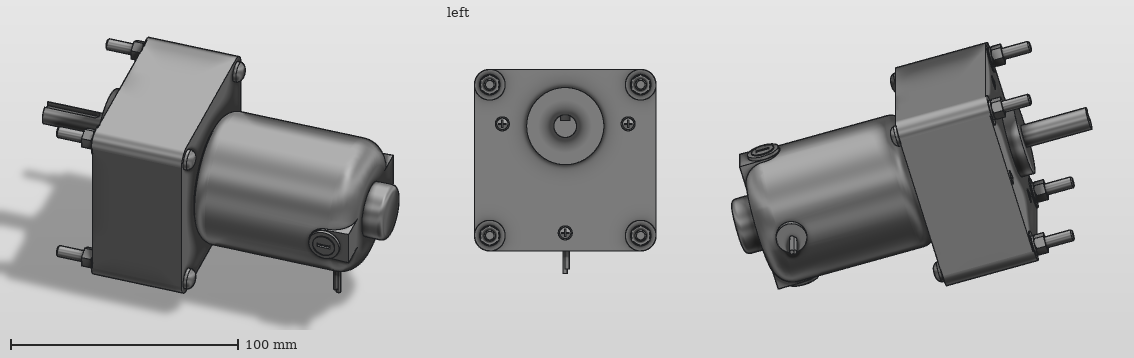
import cadquery as cq
import math


BOX_SIDE = 80.0
BOX_BACK_X = 42.0
PAD_HEIGHT = 0.5
FACE_X = PAD_HEIGHT
BOLT_CIRCLE_DIAMETER = 94.0
CORNER_OFFSET = BOLT_CIRCLE_DIAMETER / 2 / math.sqrt(2)
BOX_CORNER_RADIUS = BOX_SIDE / 2 - CORNER_OFFSET
CORNERS = [(y, z) for y in (-CORNER_OFFSET, CORNER_OFFSET) for z in (-CORNER_OFFSET, CORNER_OFFSET)]

SHAFT_Z = 15.0
SHAFT_DIAMETER = 10.0
SHAFT_TIP_X = -35.0
FLANGE_DIAMETER = 34.0
FLANGE_FRONT_X = -5.3
KEYWAY_WIDTH = 4.0
KEYWAY_DEPTH = 2.5
KEYWAY_LENGTH = 25.0

BOLT_DIAMETER = 5.0
BOLT_TIP_X = -18.0
BOLT_TIP_CHAMFER = 0.6
WASHER_DIAMETER = 9.0
WASHER_THICKNESS = 0.8
NUT_WIDTH = 8.0
NUT_THICKNESS = 4.7
NUT_CORNER_DIAMETER = NUT_WIDTH / math.cos(math.pi / 6)
NUT_CHAMFER = 0.6
HEAD_DIAMETER = 9.2
HEAD_RIM_HEIGHT = 1.5
HEAD_HEIGHT = 3.7
HEAD_TOP_RADIUS = 1.8
HEAD_DOME_MID = (2.8, 3.7)

COVER_SCREW_CIRCLE_RADIUS = 32.0
COVER_SCREW_ANGLES = (30, 150, 270)
COVER_SCREW_POCKET_DIAMETER = 6.2
COVER_SCREW_POCKET_DEPTH = 1.0
COVER_SCREW_HEAD_DIAMETER = 5.0
COVER_SCREW_RISE = 0.5
CROSS_LENGTH = 3.4
CROSS_WIDTH = 0.5
CROSS_DEPTH = 1.0

MOTOR_DIAMETER = 60.0
MOTOR_FRONT_X = 42.5
MOTOR_REAR_X = 116.5
MOTOR_FRONT_FILLET = 7.0
MOTOR_REAR_FILLET = 10.0
SPIGOT_DIAMETER = 47.0
REAR_BOSS_DIAMETER = 25.0
REAR_BOSS_END_X = 126.0
REAR_BOSS_FILLET = 2.5

BRUSH_X = 105.4
BRUSH_BLOCK_RADIUS = 7.5
BRUSH_BLOCK_REAR_HALF_HEIGHT = 7.9
BRUSH_RIM_DIAMETER = 14.2
BRUSH_RIM_HEIGHT = 1.5
BRUSH_CAP_DIAMETER = 10.2
BRUSH_CAP_HEIGHT = 2.0
BRUSH_SLOT_LENGTH = 6.0
BRUSH_SLOT_WIDTH = 1.5
BRUSH_SLOT_DEPTH = 1.0

GROMMET_X = 101.5
GROMMET_DIAMETER = 13.6
GROMMET_BOTTOM_Z = -32.0
WIRE_DIAMETER = 2.0
SHORT_WIRE = (100.35, -0.85, -48.0)
LONG_WIRE = (101.3, 0.1, -50.0)


def rod(diameter, x_start, x_end, y=0.0, z=0.0):
    """Round bar parallel to X."""
    return cq.Workplane("YZ", origin=(x_start, y, z)).circle(diameter / 2).extrude(x_end - x_start)


def post(diameter, z_start, z_end, x, y):
    """Round bar parallel to Z."""
    return cq.Workplane("XY", origin=(x, y, z_start)).circle(diameter / 2).extrude(z_end - z_start)


def box_between(x_range, y_range, z_range):
    """Rectangular block spanning the given ranges."""
    spans = (x_range, y_range, z_range)
    lengths = [high - low for low, high in spans]
    corner = tuple(low for low, high in spans)
    return cq.Workplane("XY").box(*lengths, centered=False).translate(corner)


def gearbox():
    body = (
        cq.Workplane("YZ", origin=(FACE_X, 0, 0))
        .rect(BOX_SIDE, BOX_SIDE)
        .extrude(BOX_BACK_X - FACE_X)
        .edges("|X")
        .fillet(BOX_CORNER_RADIUS)
    )
    for y, z in CORNERS:
        body = body.union(rod(2 * BOX_CORNER_RADIUS, 0, BOX_BACK_X, y, z))
    return body


def output_shaft():
    flange = rod(FLANGE_DIAMETER, FLANGE_FRONT_X, FACE_X, z=SHAFT_Z)
    shaft = rod(SHAFT_DIAMETER, SHAFT_TIP_X, FACE_X, z=SHAFT_Z)
    keyway_top_z = SHAFT_Z + SHAFT_DIAMETER / 2
    keyway_floor_z = keyway_top_z - KEYWAY_DEPTH
    round_end_x = SHAFT_TIP_X + KEYWAY_LENGTH - KEYWAY_WIDTH / 2
    keyway = box_between(
        (SHAFT_TIP_X, round_end_x),
        (-KEYWAY_WIDTH / 2, KEYWAY_WIDTH / 2),
        (keyway_floor_z, keyway_top_z),
    ).union(post(KEYWAY_WIDTH, keyway_floor_z, keyway_top_z, round_end_x, 0))
    return flange.union(shaft.cut(keyway))


def nut(y, z):
    """Hexagon nut with corners pointing along Z, chamfered on the washer side."""
    back_x = -WASHER_THICKNESS
    hexagon = (
        cq.Workplane("YZ", origin=(back_x - NUT_THICKNESS, y, z))
        .transformed(rotate=(0, 0, 90))
        .polygon(6, NUT_CORNER_DIAMETER)
        .extrude(NUT_THICKNESS)
    )
    envelope = rod(NUT_CORNER_DIAMETER, back_x - NUT_THICKNESS, back_x, y, z)
    return hexagon.intersect(envelope.faces(">X").chamfer(NUT_CHAMFER))


def bolt_head(y, z):
    rim_radius = HEAD_DIAMETER / 2
    profile = (
        cq.Workplane("XY")
        .lineTo(0, rim_radius)
        .lineTo(HEAD_RIM_HEIGHT, rim_radius)
        .threePointArc(HEAD_DOME_MID, (HEAD_HEIGHT, HEAD_TOP_RADIUS))
        .lineTo(HEAD_HEIGHT, 0)
        .close()
    )
    return profile.revolve(360, (0, 0, 0), (1, 0, 0)).translate((BOX_BACK_X, y, z))


def through_bolt(y, z):
    thread = rod(BOLT_DIAMETER, BOLT_TIP_X, FACE_X, y, z).faces("<X").chamfer(BOLT_TIP_CHAMFER)
    washer = rod(WASHER_DIAMETER, -WASHER_THICKNESS, 0, y, z)
    return thread.union(washer).union(nut(y, z)).union(bolt_head(y, z))


def cover_screw_head(y, z):
    """Domed screw head with a cross recess, standing slightly proud of the front face."""
    base_x = FACE_X + COVER_SCREW_POCKET_DEPTH
    top_x = FACE_X - COVER_SCREW_RISE
    radius = COVER_SCREW_HEAD_DIAMETER / 2
    dome_radius = (radius**2 + COVER_SCREW_RISE**2) / (2 * COVER_SCREW_RISE)
    dome = cq.Workplane("XY").sphere(dome_radius).translate((top_x + dome_radius, y, z))
    head = rod(COVER_SCREW_HEAD_DIAMETER, top_x, base_x, y, z).intersect(dome)
    cross = (
        cq.Workplane("YZ", origin=(top_x, y, z))
        .rect(CROSS_LENGTH, CROSS_WIDTH)
        .extrude(CROSS_DEPTH)
        .union(
            cq.Workplane("YZ", origin=(top_x, y, z))
            .rect(CROSS_WIDTH, CROSS_LENGTH)
            .extrude(CROSS_DEPTH)
        )
    )
    return head.cut(cross)


def add_cover_screws(body):
    for angle in COVER_SCREW_ANGLES:
        y = COVER_SCREW_CIRCLE_RADIUS * math.cos(math.radians(angle))
        z = COVER_SCREW_CIRCLE_RADIUS * math.sin(math.radians(angle))
        pocket = rod(COVER_SCREW_POCKET_DIAMETER, FACE_X, FACE_X + COVER_SCREW_POCKET_DEPTH, y, z)
        body = body.cut(pocket).union(cover_screw_head(y, z))
    return body


def motor():
    can = (
        rod(MOTOR_DIAMETER, MOTOR_FRONT_X, MOTOR_REAR_X)
        .faces("<X").edges().fillet(MOTOR_FRONT_FILLET)
        .faces(">X").edges().fillet(MOTOR_REAR_FILLET)
    )
    spigot = rod(SPIGOT_DIAMETER, BOX_BACK_X, MOTOR_FRONT_X + MOTOR_FRONT_FILLET)
    boss = (
        rod(REAR_BOSS_DIAMETER, MOTOR_REAR_X, REAR_BOSS_END_X)
        .faces(">X").edges().fillet(REAR_BOSS_FILLET)
    )
    return can.union(spigot).union(boss)


def brush_block():
    """Block across the motor, round at the front and slightly wider at the rear."""
    return (
        cq.Workplane("XZ", origin=(0, MOTOR_DIAMETER / 2, 0))
        .moveTo(BRUSH_X, BRUSH_BLOCK_RADIUS)
        .threePointArc((BRUSH_X - BRUSH_BLOCK_RADIUS, 0), (BRUSH_X, -BRUSH_BLOCK_RADIUS))
        .lineTo(MOTOR_REAR_X, -BRUSH_BLOCK_REAR_HALF_HEIGHT)
        .lineTo(MOTOR_REAR_X, BRUSH_BLOCK_REAR_HALF_HEIGHT)
        .close()
        .extrude(MOTOR_DIAMETER)
    )


def brush_cap():
    """Slotted cap on the -Y side of the motor."""
    seat = cq.Workplane("XZ", origin=(BRUSH_X, -MOTOR_DIAMETER / 2, 0))
    rim = seat.circle(BRUSH_RIM_DIAMETER / 2).extrude(BRUSH_RIM_HEIGHT)
    cap = seat.circle(BRUSH_CAP_DIAMETER / 2).extrude(BRUSH_CAP_HEIGHT)
    slot = (
        seat.workplane(offset=BRUSH_CAP_HEIGHT - BRUSH_SLOT_DEPTH)
        .rect(BRUSH_SLOT_LENGTH, BRUSH_SLOT_WIDTH)
        .extrude(BRUSH_SLOT_DEPTH)
    )
    return rim.union(cap).cut(slot)


def cable():
    parts = post(GROMMET_DIAMETER, GROMMET_BOTTOM_Z, 0, GROMMET_X, 0)
    for x, y, end_z in (SHORT_WIRE, LONG_WIRE):
        parts = parts.union(post(WIRE_DIAMETER, end_z, GROMMET_BOTTOM_Z, x, y))
    return parts


result = add_cover_screws(gearbox()).union(output_shaft())
for bolt_y, bolt_z in CORNERS:
    result = result.union(through_bolt(bolt_y, bolt_z))
result = result.union(motor()).union(brush_block()).union(cable())
result = result.union(brush_cap()).union(brush_cap().mirror("XZ"))